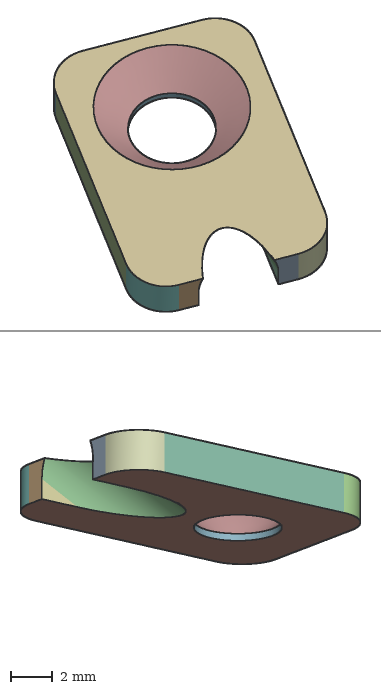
import cadquery as cq
import math

LENGTH = 14.8
WIDTH = 10.0
THICKNESS = 2.0
CORNER_RADIUS = 2.0

HOLE_DIAMETER = 4.2
COUNTERSINK_DIAMETER = 7.5
COUNTERSINK_ANGLE = 90.0
HOLE_FROM_LEFT_END = 4.55

CHANNEL_RADIUS = 2.0
CHANNEL_SLOPE = 25.0
CHANNEL_AXIS_HEIGHT = THICKNESS / 2

RIGHT_END = LENGTH / 2
HOLE_X = HOLE_FROM_LEFT_END - LENGTH / 2


def make_plate():
    plate = cq.Workplane("XY").box(LENGTH, WIDTH, THICKNESS, centered=(True, True, False))
    return plate.edges("|Z").fillet(CORNER_RADIUS)


def cut_screw_hole(plate):
    top = plate.faces(">Z").workplane(origin=(HOLE_X, 0, THICKNESS))
    return top.cskHole(HOLE_DIAMETER, COUNTERSINK_DIAMETER, COUNTERSINK_ANGLE)


def make_channel():
    """Arched profile, drawn square to the sloping axis and swept both ways along it."""
    slope = math.radians(CHANNEL_SLOPE)
    section_plane = cq.Plane(
        origin=(RIGHT_END, 0, CHANNEL_AXIS_HEIGHT),
        xDir=(0, 1, 0),
        normal=(math.cos(slope), 0, math.sin(slope)),
    )
    wall_depth = LENGTH
    return (
        cq.Workplane(section_plane)
        .moveTo(-CHANNEL_RADIUS, -wall_depth)
        .lineTo(-CHANNEL_RADIUS, 0)
        .threePointArc((0, CHANNEL_RADIUS), (CHANNEL_RADIUS, 0))
        .lineTo(CHANNEL_RADIUS, -wall_depth)
        .close()
        .extrude(LENGTH, both=True)
    )


result = cut_screw_hole(make_plate()).cut(make_channel())